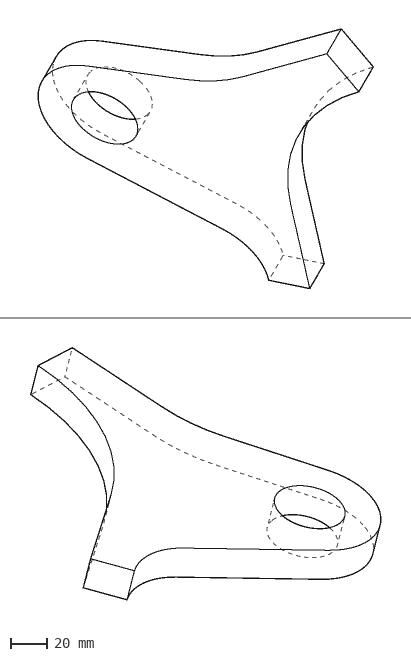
import cadquery as cq
import math

thickness = 20.0
hole_radius = 20.0
hub_radius = 40.0
flank_angle = 15
arm_angle = 40
arm_width = 30.0
leg_angle = 10
leg_width = 25.0
leg_straight = 66.3
inner_radius = 120.0
inner_center_x = 229.8
shoulder_radius = 90.0


def polar(radius, angle):
    """Vector of the given length at an angle in degrees from +X."""
    a = math.radians(angle)
    return cq.Vector(radius * math.cos(a), radius * math.sin(a))


def line_crossing(normal_1, offset_1, normal_2, offset_2):
    """Crossing of two lines, each given by normal . point = offset."""
    det = normal_1.x * normal_2.y - normal_1.y * normal_2.x
    return cq.Vector(
        (offset_1 * normal_2.y - offset_2 * normal_1.y) / det,
        (normal_1.x * offset_2 - normal_2.x * offset_1) / det,
    )


def xy(point):
    return (point.x, point.y)


upper_normal = polar(1, 90 + flank_angle)
lower_normal = polar(1, -90 - flank_angle)
arm_normal = polar(1, 90 + arm_angle)

inner_center = cq.Vector(inner_center_x, 0)
arm_tip_inner = inner_center + arm_normal * inner_radius
arm_tip_outer = arm_tip_inner + arm_normal * arm_width
inner_mid = inner_center - cq.Vector(inner_radius, 0)
leg_start = inner_center + polar(inner_radius, 180 + leg_angle)
leg_tip_inner = leg_start + polar(leg_straight, leg_angle - 90)
leg_tip_outer = leg_tip_inner + polar(leg_width, 180 + leg_angle)

arm_offset = arm_normal.dot(arm_tip_outer)
shoulder_center = line_crossing(
    upper_normal, hub_radius + shoulder_radius,
    arm_normal, arm_offset + shoulder_radius,
)
shoulder_start = shoulder_center - upper_normal * shoulder_radius
shoulder_mid = shoulder_center + polar(shoulder_radius, (flank_angle + arm_angle) / 2 - 90)
shoulder_end = shoulder_center - arm_normal * shoulder_radius

heel_direction = polar(1, leg_angle)
heel_radius = (lower_normal.dot(leg_tip_outer) - hub_radius) / (1 + lower_normal.dot(heel_direction))
heel_center = leg_tip_outer - heel_direction * heel_radius
heel_start = heel_center - lower_normal * heel_radius
heel_mid = heel_center + polar(heel_radius, (90 - flank_angle + leg_angle) / 2)

outline = (
    cq.Workplane("XZ", origin=(0, thickness / 2, 0))
    .moveTo(*xy(upper_normal * hub_radius))
    .lineTo(*xy(shoulder_start))
    .threePointArc(xy(shoulder_mid), xy(shoulder_end))
    .lineTo(*xy(arm_tip_outer))
    .lineTo(*xy(arm_tip_inner))
    .threePointArc(xy(inner_mid), xy(leg_start))
    .lineTo(*xy(leg_tip_inner))
    .lineTo(*xy(leg_tip_outer))
    .threePointArc(xy(heel_mid), xy(heel_start))
    .lineTo(*xy(lower_normal * hub_radius))
    .threePointArc((-hub_radius, 0), xy(upper_normal * hub_radius))
    .close()
)
plate = outline.extrude(thickness)

result = plate.cut(
    cq.Workplane("XZ", origin=(0, thickness / 2, 0)).circle(hole_radius).extrude(thickness)
)